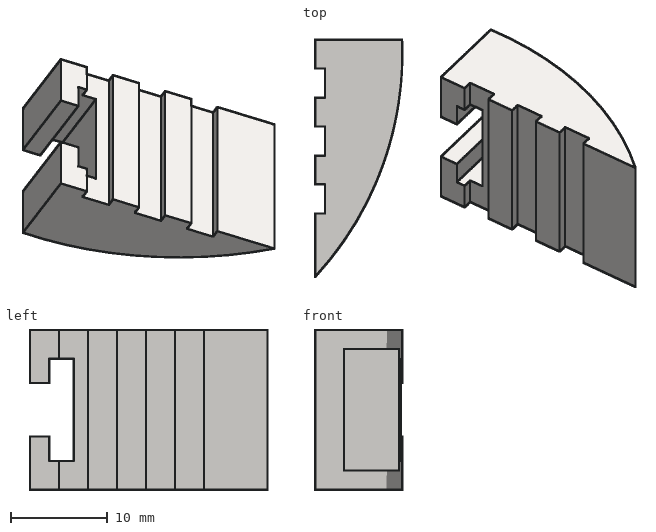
import cadquery as cq
import math

LENGTH = 24.5
THICKNESS = 9.02
HEIGHT = 16.5
ARC_RADIUS = 34.0

GROOVE_COUNT = 3
GROOVE_WIDTH = 3.0
GROOVE_DEPTH = 1.0

MOUTH_HEIGHT = 5.5
MOUTH_DEPTH = 2.0
CAVITY_HEIGHT = 10.5
CAVITY_DEPTH = 2.5

POCKET_HEIGHT = 12.55
POCKET_WALL = 3.0
END_WALL = 2.0


arc_center_x = THICKNESS - ARC_RADIUS
arc_center_y = math.sqrt(ARC_RADIUS**2 - arc_center_x**2)


def arc_x(y):
    """X of the curved side at a given Y."""
    return arc_center_x + math.sqrt(ARC_RADIUS**2 - (y - arc_center_y) ** 2)


def box_between(x_range, y_range, height):
    """Box spanning the given X and Y ranges, centred on Z = 0."""
    size_x = x_range[1] - x_range[0]
    size_y = y_range[1] - y_range[0]
    box = cq.Workplane("XY").box(size_x, size_y, height, centered=(False, False, True))
    return box.translate((x_range[0], y_range[0], 0))


def make_body():
    mid_y = LENGTH / 2
    return (
        cq.Workplane("XY")
        .moveTo(0, 0)
        .threePointArc((arc_x(mid_y), mid_y), (arc_x(LENGTH), LENGTH))
        .lineTo(0, LENGTH)
        .close()
        .extrude(HEIGHT / 2, both=True)
    )


def cut_grooves(body):
    for index in range(GROOVE_COUNT):
        groove_end = LENGTH - (2 * index + 1) * GROOVE_WIDTH
        groove = box_between((0, GROOVE_DEPTH), (groove_end - GROOVE_WIDTH, groove_end), HEIGHT)
        body = body.cut(groove)
    return body


def cut_t_slot(body):
    mouth_floor = LENGTH - MOUTH_DEPTH
    cavity_floor = mouth_floor - CAVITY_DEPTH
    mouth = box_between((0, THICKNESS), (mouth_floor, LENGTH), MOUTH_HEIGHT)
    cavity = box_between((0, THICKNESS), (cavity_floor, mouth_floor), CAVITY_HEIGHT)
    return body.cut(mouth).cut(cavity)


def cut_pocket(body):
    pocket_end = LENGTH - MOUTH_DEPTH - CAVITY_DEPTH - END_WALL
    pocket = box_between((POCKET_WALL, THICKNESS), (0, pocket_end), POCKET_HEIGHT)
    return body.cut(pocket)


result = cut_pocket(cut_t_slot(cut_grooves(make_body())))